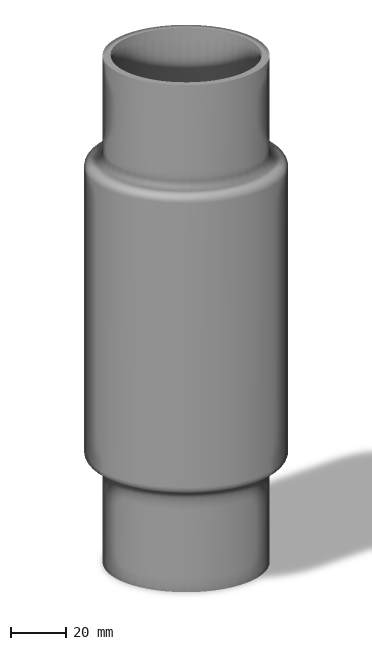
import cadquery as cq

total_length = 196.0
pipe_outer_diameter = 60.3
pipe_wall = 2.9
sleeve_diameter = 73.6
pipe_end_length = 40.0
edge_radius = 3.0

pipe_radius = pipe_outer_diameter / 2
bore_radius = pipe_radius - pipe_wall
sleeve_radius = sleeve_diameter / 2
pipe_end_z = total_length / 2
sleeve_end_z = pipe_end_z - pipe_end_length


def make_pipe_with_sleeve():
    """Solid of revolution about Z: a pipe stub at each end of a thicker sleeve."""
    root_radius = pipe_radius + edge_radius
    rim_radius = sleeve_radius - edge_radius
    root_z = sleeve_end_z + edge_radius
    rim_z = sleeve_end_z - edge_radius
    profile = (
        cq.Workplane("XZ")
        .moveTo(bore_radius, -pipe_end_z)
        .lineTo(pipe_radius, -pipe_end_z)
        .lineTo(pipe_radius, -root_z)
        .radiusArc((root_radius, -sleeve_end_z), edge_radius)
        .lineTo(rim_radius, -sleeve_end_z)
        .radiusArc((sleeve_radius, -rim_z), -edge_radius)
        .lineTo(sleeve_radius, rim_z)
        .radiusArc((rim_radius, sleeve_end_z), -edge_radius)
        .lineTo(root_radius, sleeve_end_z)
        .radiusArc((pipe_radius, root_z), edge_radius)
        .lineTo(pipe_radius, pipe_end_z)
        .lineTo(bore_radius, pipe_end_z)
        .close()
    )
    return profile.revolve(360, (0, 0, 0), (0, 1, 0))


result = make_pipe_with_sleeve()